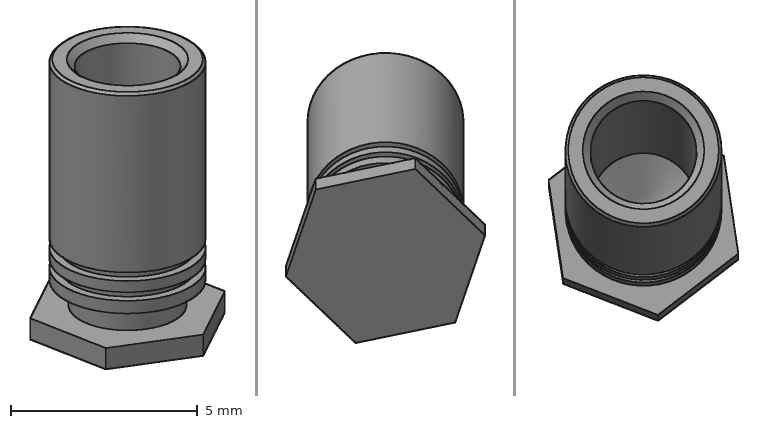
import cadquery as cq
import math

total_height = 7.94
head_across_flats = 4.75
head_height = 0.635

body_diameter = 4.19
groove_diameter = 3.685
neck_diameter = 3.175
neck_top = 1.38
lower_ring_top = 1.76
lower_groove_top = 2.02
upper_ring_top = 2.35
upper_groove_top = 2.605
rim_chamfer = 0.08

bore_diameter = 2.84
countersink_diameter = 3.255
bore_depth = 5.955
drill_point_angle = 118.0


def make_head():
    across_corners = head_across_flats / math.cos(math.pi / 6)
    return cq.Workplane("XY").polygon(6, across_corners).extrude(head_height)


def make_cylinder(diameter, bottom, top):
    return cq.Workplane("XY").workplane(offset=bottom).circle(diameter / 2).extrude(top - bottom)


def make_shank():
    neck = make_cylinder(neck_diameter, head_height, neck_top)
    groove_core = make_cylinder(groove_diameter, neck_top, upper_groove_top)
    lower_ring = make_cylinder(body_diameter, neck_top, lower_ring_top)
    upper_ring = make_cylinder(body_diameter, lower_groove_top, upper_ring_top)
    body = make_cylinder(body_diameter, upper_groove_top, total_height)
    body = body.faces(">Z").edges().chamfer(rim_chamfer)
    return neck.union(groove_core).union(lower_ring).union(upper_ring).union(body)


def make_bore():
    bore_radius = bore_diameter / 2
    countersink_radius = countersink_diameter / 2
    countersink_bottom = total_height - (countersink_radius - bore_radius)
    bore_bottom = total_height - bore_depth
    point_length = bore_radius / math.tan(math.radians(drill_point_angle / 2))
    return (
        cq.Workplane("XZ")
        .moveTo(0, bore_bottom - point_length)
        .lineTo(bore_radius, bore_bottom)
        .lineTo(bore_radius, countersink_bottom)
        .lineTo(countersink_radius, total_height)
        .lineTo(0, total_height)
        .close()
        .revolve(360, (0, 0), (0, 1))
    )


result = make_head().union(make_shank()).cut(make_bore())